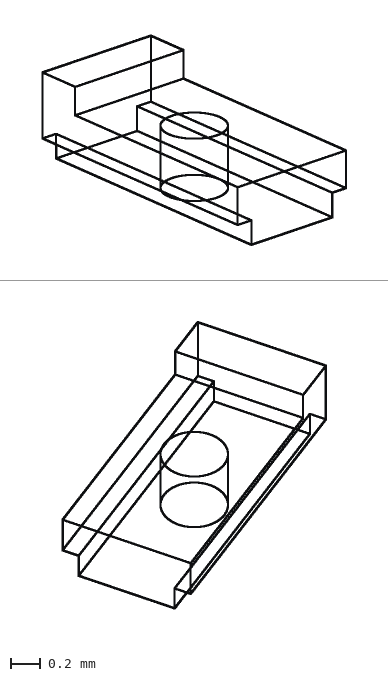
import cadquery as cq

length = 2.0
body_width = 0.972
total_height = 0.665
key_width = 0.728
key_height = 0.18
plate_top = 0.455
lip_length = 0.335
hole_diameter = 0.455


def block(size_x, size_y, bottom, top):
    """Block starting at X = 0, centred on Y, between two heights."""
    return (
        cq.Workplane("XY")
        .workplane(offset=bottom)
        .box(size_x, size_y, top - bottom, centered=(False, True, False))
    )


key = block(length, key_width, 0, key_height)
plate = block(length, body_width, key_height, plate_top)
lip = block(lip_length, body_width, plate_top, total_height)

hole = cq.Workplane("XY").center(length / 2, 0).circle(hole_diameter / 2).extrude(plate_top)

result = key.union(plate).union(lip).cut(hole)